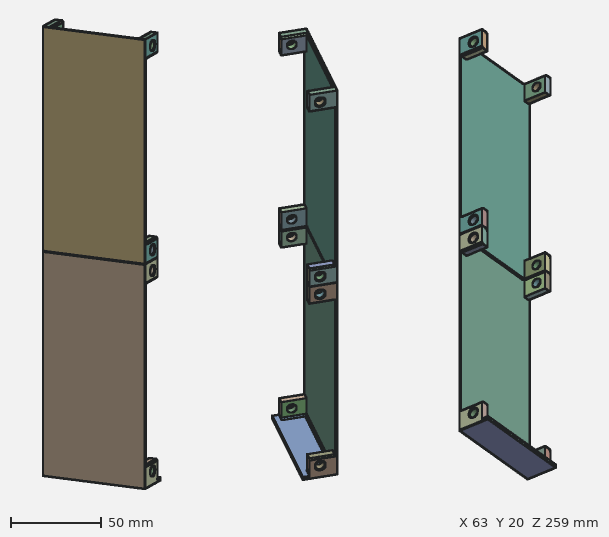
import cadquery as cq

WIDTH = 63.0
FOOT_DEPTH = 20.0
TOTAL_HEIGHT = 259.0
COVER_HEIGHT = TOTAL_HEIGHT / 2

SKIN = 1.5
TAB_DEPTH = 16.0
INNER_WIDTH = 52.8
TAB_THICKNESS = (WIDTH - INNER_WIDTH) / 2
TAB_HEIGHT = 12.0
FOOT_THICKNESS = 2.0
FOOT_TAB_HEIGHT = 13.5

HOLE_DIAMETER = 5.5
HOLE_Y = FOOT_DEPTH / 2
HOLE_INSET = 6.0
FOOT_HOLE_INSET = 8.0

OUTER_CHAMFER = 0.3
HOLE_CHAMFER = 0.45
INNER_CHAMFER = 1.0
TAB_CHAMFER = 0.9


def block(size, corner):
    """Box with its lowest corner at the given point."""
    return cq.Workplane("XY").box(*size, centered=False).translate(corner)


def envelope(depth, height):
    """Outer block with bevelled front face and bevelled lower side edges."""
    body = block((WIDTH, depth, height), (0, 0, 0))
    body = body.faces("<Y").edges().chamfer(OUTER_CHAMFER)
    return body.faces("<Z").edges("<X or >X").chamfer(OUTER_CHAMFER)


def cavity(floor):
    """Space between the tabs, open at the back, flared at the top end, sloped where it meets a foot."""
    space = block((INNER_WIDTH, FOOT_DEPTH, COVER_HEIGHT - floor), (TAB_THICKNESS, SKIN, floor))
    if floor > 0:
        space = space.faces("<Z").edges().chamfer(INNER_CHAMFER)
    flare = (
        cq.Workplane("XY", origin=(WIDTH / 2, SKIN + FOOT_DEPTH / 2, COVER_HEIGHT - INNER_CHAMFER))
        .rect(INNER_WIDTH, FOOT_DEPTH)
        .extrude(INNER_CHAMFER, taper=-45)
    )
    return space.union(flare)


def side_window(bottom):
    """Gap between the lower and upper tabs, widened at both sides to bevel the tabs."""
    top = COVER_HEIGHT - TAB_HEIGHT
    bevel = TAB_CHAMFER
    outline = [
        (0, bottom - bevel),
        (bevel, bottom),
        (WIDTH - bevel, bottom),
        (WIDTH, bottom - bevel),
        (WIDTH, top + bevel),
        (WIDTH - bevel, top),
        (bevel, top),
        (0, top + bevel),
    ]
    return cq.Workplane("XZ", origin=(0, SKIN, 0)).polyline(outline).close().extrude(-FOOT_DEPTH)


def screw_hole(z):
    """Hole through both tabs at one height, countersunk slightly on both outer faces."""
    radius = HOLE_DIAMETER / 2
    profile = [
        (0, 0),
        (0, radius + HOLE_CHAMFER),
        (HOLE_CHAMFER, radius),
        (WIDTH - HOLE_CHAMFER, radius),
        (WIDTH, radius + HOLE_CHAMFER),
        (WIDTH, 0),
    ]
    return (
        cq.Workplane("XY").polyline(profile).close()
        .revolve(360, (0, 0, 0), (1, 0, 0))
        .translate((0, HOLE_Y, z))
    )


def cover(floor, lower_tab_height, lower_hole_z):
    """One cover standing on z = 0; a floor thicker than zero adds the foot plate."""
    body = envelope(TAB_DEPTH, COVER_HEIGHT)
    if floor > 0:
        foot = envelope(FOOT_DEPTH, floor).faces(">Z").edges("<X or >X").chamfer(OUTER_CHAMFER)
        body = body.union(foot)
    body = body.cut(cavity(floor)).cut(side_window(lower_tab_height))
    for z in (lower_hole_z, COVER_HEIGHT - HOLE_INSET):
        body = body.cut(screw_hole(z))
    return body


lower_cover = cover(FOOT_THICKNESS, FOOT_TAB_HEIGHT, FOOT_HOLE_INSET)
upper_cover = cover(0, TAB_HEIGHT, HOLE_INSET).translate((0, 0, COVER_HEIGHT))

result = cq.Compound.makeCompound([lower_cover.val(), upper_cover.val()])